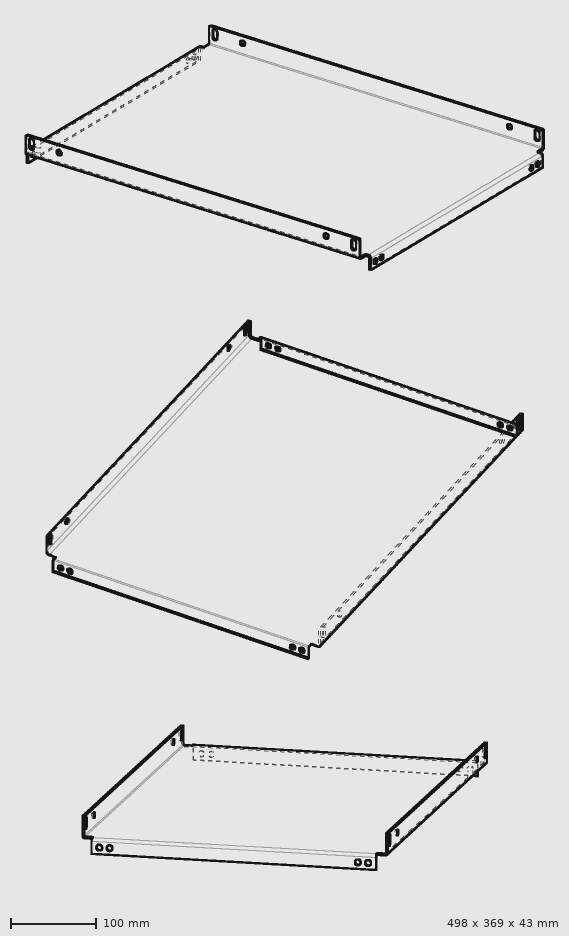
import cadquery as cq

length = 498.0
width = 369.0
thickness = 2.5
bend_inner_radius = 1.25
bend_outer_radius = bend_inner_radius + thickness

wall_height = 26.5
wall_length = 483.0
wall_corner_radius = 2.5
flange_drop = 19.0
flange_length = 343.5

hole_diameter = 7.0
wall_hole_x = 193.0
slot_x = 233.0
slot_height = 14.5
wall_hole_below_rim = 9.5
wall_hole_z = wall_height - wall_hole_below_rim
flange_hole_end_distances = (9.5, 22.0)
flange_hole_ys = [flange_length / 2 - distance for distance in flange_hole_end_distances]
flange_hole_below_top = 11.0
flange_hole_z = thickness - flange_hole_below_top


def folded_channel(plane, span, leg_height, run, up):
    """Centred U-shaped folded sheet whose base has its outer face at local y = 0."""
    half = span / 2
    inner_half = half - thickness
    bend_x = half - bend_outer_radius
    return (
        cq.Workplane(plane)
        .moveTo(-half, up * leg_height)
        .lineTo(-half, up * bend_outer_radius)
        .radiusArc((-bend_x, 0), -up * bend_outer_radius)
        .lineTo(bend_x, 0)
        .radiusArc((half, up * bend_outer_radius), -up * bend_outer_radius)
        .lineTo(half, up * leg_height)
        .lineTo(inner_half, up * leg_height)
        .lineTo(inner_half, up * bend_outer_radius)
        .radiusArc((bend_x, up * thickness), up * bend_inner_radius)
        .lineTo(-bend_x, up * thickness)
        .radiusArc((-inner_half, up * bend_outer_radius), up * bend_inner_radius)
        .lineTo(-inner_half, up * leg_height)
        .close()
        .extrude(run / 2, both=True)
    )


walls = folded_channel("YZ", width, wall_height, wall_length, 1)
walls = walls.faces(">Z").edges("|Y").fillet(wall_corner_radius)

flanges = folded_channel("XZ", length, flange_drop, flange_length, -1)
flanges = flanges.translate((0, 0, thickness))

tray = walls.union(flanges)

wall_holes = (
    cq.Workplane("XZ")
    .pushPoints([(side * wall_hole_x, wall_hole_z) for side in (-1, 1)])
    .circle(hole_diameter / 2)
    .extrude(width, both=True)
)
wall_slots = (
    cq.Workplane("XZ")
    .pushPoints([(side * slot_x, wall_hole_z) for side in (-1, 1)])
    .slot2D(slot_height, hole_diameter, 90)
    .extrude(width, both=True)
)

flange_holes = (
    cq.Workplane("YZ")
    .pushPoints([(side * y, flange_hole_z) for side in (-1, 1) for y in flange_hole_ys])
    .circle(hole_diameter / 2)
    .extrude(length, both=True)
)

result = tray.cut(wall_holes).cut(wall_slots).cut(flange_holes)